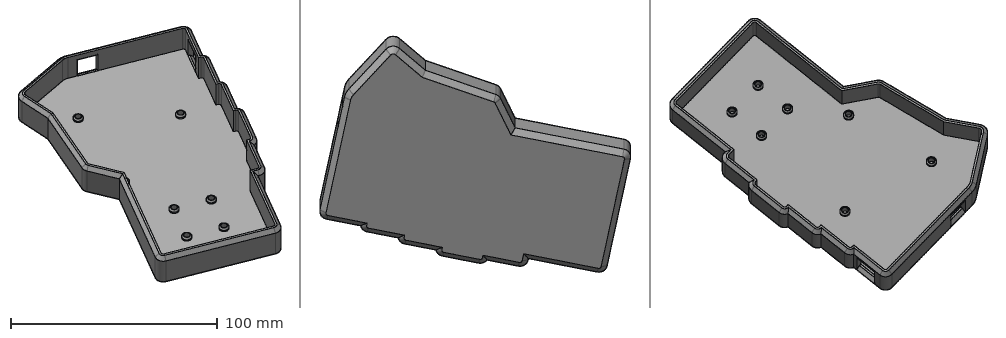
import cadquery as cq

length = 141.8
height = 20.0
wall = 3.0
floor = 5.0
rim_chamfer = 2.0
base_chamfer = 3.0
key_pitch = 19.0

cavity_side = length / 2 - wall
cavity_back = 40.0
palm_front = -18.1
back_left = (-cavity_side, cavity_back)
back_right = (cavity_side, cavity_back)
front_right = (cavity_side, palm_front)
palm_corner = (11.6, palm_front)
thumb_corner = (0.5, -32.9)
thumb_notch = (-36.3, -38.3)
thumb_tip = (-52.7, -47.8)
left_bend = (-cavity_side, -21.4)
corner_radius = 1.1
thumb_tip_radius = 1.7
left_bend_radius = 6.0

stagger = key_pitch / 8
tier_spans = [(-47.3, 29.9), (-28.4, 29.9), (-9.2, 10.8)]

boss_diameter = 5.0
boss_hole_diameter = 3.0
boss_height = 1.7
boss_chamfer = 0.9
boss_hole_depth = 4.0
grid_left = 29.5
grid_front = 1.3
single_bosses = [(-27.6, 24.1), (5.1, -15.7), (-41.4, -23.5)]
grid_bosses = [
    (grid_left + column * key_pitch, grid_front + row * key_pitch)
    for column in range(2)
    for row in range(2)
]

port_top = 16.5
port_sill = 4.8
left_port_width = 10.5
left_port_y = -9.6
back_port_width = 11.3
back_port_x = -57.5


def main_area():
    """Full-height prism over the whole cavity except the raised tiers."""
    outline = [
        back_left, left_bend, thumb_tip, thumb_notch,
        thumb_corner, palm_corner, front_right, back_right,
    ]
    corner_radii = [
        (back_left, corner_radius),
        (back_right, corner_radius),
        (front_right, corner_radius),
        (thumb_corner, corner_radius),
        (thumb_tip, thumb_tip_radius),
        (left_bend, left_bend_radius),
    ]
    prism = cq.Workplane("XY").polyline(outline).close().extrude(height)
    for (x, y), radius in corner_radii:
        upright_edge = cq.selectors.NearestToPointSelector((x, y, height / 2))
        prism = prism.edges(upright_edge).fillet(radius)
    return prism


def tier_area(left, right, rise):
    """Full-height prism over one tier, starting inside the main area, rounded at the back."""
    depth = cavity_back + rise
    prism = cq.Workplane("XY", origin=(left, 0, 0)).rect(right - left, depth, centered=False).extrude(height)
    return prism.edges("|Z and >Y").fillet(corner_radius)


def outer_block(area):
    """Grow an area by the wall all round and chamfer its top and bottom edges.

    The area pieces are grown separately, so that each inner corner between two tiers
    comes out as a plain meeting of their chamfered blocks.
    """
    outline = area.faces("<Z").wires().val().offset2D(wall, "arc")[0]
    block = cq.Workplane("XY").add(outline).toPending().extrude(height)
    block = block.faces(">Z").chamfer(rim_chamfer)
    return block.faces("<Z").chamfer(base_chamfer)


def port_cutter(width):
    """Opening with a sloped sill through a wall that faces +X and has its outer face at X = 0."""
    outside = wall
    profile = [
        (outside, base_chamfer),
        (0, base_chamfer),
        (-rim_chamfer, port_sill),
        (-wall, port_sill),
        (-wall, port_top),
        (outside, port_top),
    ]
    return cq.Workplane("XZ").polyline(profile).close().extrude(width / 2, both=True)


def cylinders(points, diameter, bottom, top):
    """Upright cylinders on the given points."""
    base = cq.Workplane("XY", origin=(0, 0, bottom))
    return base.pushPoints(points).circle(diameter / 2).extrude(top - bottom)


areas = [main_area()]
for number, (left, right) in enumerate(tier_spans, start=1):
    areas.append(tier_area(left, right, number * stagger))

result = outer_block(areas[0])
for area in areas[1:]:
    result = result.union(outer_block(area))
for area in areas:
    result = result.cut(area.translate((0, 0, floor)))

z_axis = ((0, 0, 0), (0, 0, 1))
left_port = port_cutter(left_port_width).rotate(*z_axis, 180)
back_port = port_cutter(back_port_width).rotate(*z_axis, 90)
result = result.cut(left_port.translate((-length / 2, left_port_y, 0)))
result = result.cut(back_port.translate((back_port_x, cavity_back + wall, 0)))

boss_points = single_bosses + grid_bosses
boss_top = floor + boss_height
bosses = cylinders(boss_points, boss_diameter, floor / 2, boss_top).faces(">Z").chamfer(boss_chamfer)
holes = cylinders(boss_points, boss_hole_diameter, boss_top - boss_hole_depth, boss_top)
result = result.union(bosses).cut(holes)